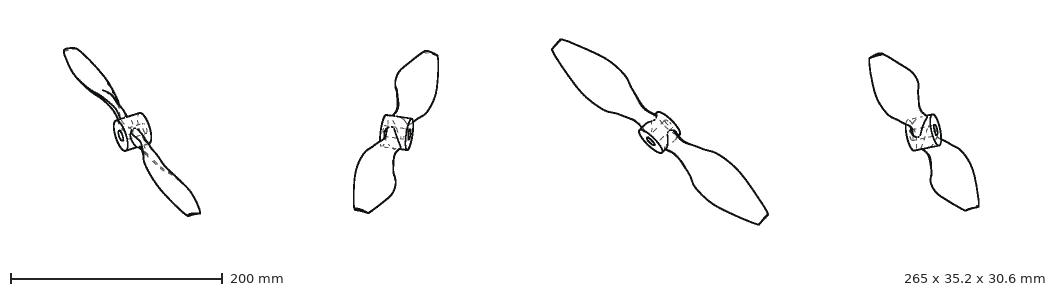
import cadquery as cq
import math

hub_diameter = 30.2
bore_diameter = 10.0
hub_front = -11.7
hub_length = 25.0

blade_span = 132.5
blade_sections = [
    (8, 11.0, 12.2, 19.5),
    (12.0, 9.3, 10.9, 16.0),
    (16, 7.2, 9.8, 10.5),
    (23.8, 5.5, 10.0, 8.5),
    (31.8, 6.0, 12.0, 7.2),
    (42.5, 9.0, 14.0, 6.4),
    (53, 13.5, 14.8, 5.8),
    (63.5, 16.5, 14.3, 5.3),
    (74.2, 17.5, 13.0, 4.8),
    (90, 17.0, 9.5, 4.0),
    (106, 14.0, 5.8, 3.2),
    (122, 10.3, 3.0, 2.5),
    (blade_span, 6.5, 1.45, 1.9),
]
nose_fullness = 0.5
root_end = 13.2
airfoil_start = 42.5
nose_droop = 0.9
droop_sharpness = 6
hollow_depth = 0.2
chord_drop = 0.15
steps_per_face = 8
blade_center_y = 0.3
blade_center_z = 0.3


def section_wire(x, half_width, half_height, thickness):
    """Closed, tilted airfoil with its leading edge toward -Y and +Z."""
    half_thickness = thickness / 2
    half_chord = math.sqrt(half_width**2 + half_height**2 - half_thickness**2)
    tilt = math.acos(math.sqrt(
        (half_width**2 - half_thickness**2) / (half_chord**2 - half_thickness**2)
    ))
    airfoil = min(1, max(0, (x - root_end) / (airfoil_start - root_end)))
    upper_height = half_thickness * (1 + airfoil)
    lower_height = airfoil * hollow_depth * thickness - (1 - airfoil) * half_thickness
    base = -airfoil * chord_drop * thickness

    def face(height, fullness, droop):
        """Spline from leading to trailing edge at the given height off the chord."""
        points = []
        for step in range(steps_per_face + 1):
            angle = math.pi * step / steps_per_face
            along = half_chord * math.cos(angle)
            across = base + height * math.sin(angle) * (1 + fullness * math.cos(angle))
            across -= droop * math.sin(angle) * math.cos(angle / 2)**droop_sharpness
            points.append(cq.Vector(
                x,
                blade_center_y - along * math.cos(tilt) + across * math.sin(tilt),
                blade_center_z + along * math.sin(tilt) + across * math.cos(tilt),
            ))
        return cq.Edge.makeSpline(points)

    upper_face = face(upper_height, airfoil * nose_fullness, 0)
    lower_face = face(lower_height, 0, airfoil * nose_droop * thickness)
    return cq.Wire.assembleEdges([upper_face, lower_face])


def make_blade():
    wires = [section_wire(*section) for section in blade_sections]
    return cq.Workplane(obj=cq.Solid.makeLoft(wires))


def cylinder_along_y(diameter):
    return (
        cq.Workplane("XZ", origin=(0, hub_front, 0))
        .circle(diameter / 2)
        .extrude(-hub_length)
    )


blade = make_blade()
result = (
    cylinder_along_y(hub_diameter)
    .union(blade)
    .union(blade.mirror("YZ"))
    .cut(cylinder_along_y(bore_diameter))
)